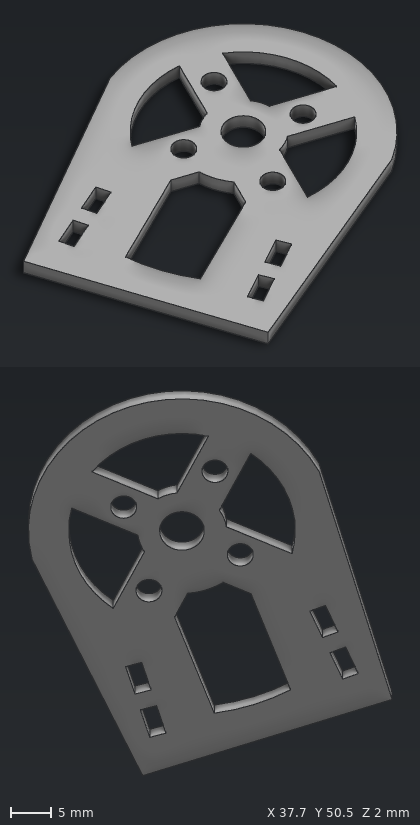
import cadquery as cq
import math

thickness = 2.0
total_length = 50.55
head_radius = 19.0
shoulder_half_width = 18.85
foot_half_width = 16.4
foot_y = head_radius - total_length
shoulder_y = math.sqrt(head_radius**2 - shoulder_half_width**2)

hub_diameter = 5.5
mount_diameter = 3.2
outer_mount_radius = 9.5
inner_mount_radius = 8.0

window_outer_radius = 14.0
window_inner_radius = 5.5
spoke_width = 5.8

opening_half_width = 5.0
opening_inner_radius = 9.0
opening_outer_radius = 26.5
opening_spoke_width = 9.0

slot_width = 2.05
slot_length = 4.1
slot_tilt = 3.0
slot_centers = [(12.2, -18.15), (12.55, -24.6)]


def make_plate():
    return (
        cq.Workplane("XY")
        .moveTo(-foot_half_width, foot_y)
        .lineTo(foot_half_width, foot_y)
        .lineTo(shoulder_half_width, shoulder_y)
        .threePointArc((0, head_radius), (-shoulder_half_width, shoulder_y))
        .close()
        .extrude(thickness)
    )


def make_ring(outer_radius, inner_radius):
    return cq.Workplane("XY").circle(outer_radius).circle(inner_radius).extrude(thickness)


def make_quadrant(gap_width, reach):
    """Wedge opening toward +Y, bounded by the edges of two diagonal spokes."""
    apex_y = gap_width / math.sqrt(2)
    points = [(0, apex_y), (reach, apex_y + reach), (-reach, apex_y + reach)]
    return cq.Workplane("XY").polyline(points).close().extrude(thickness)


def make_window(angle):
    ring = make_ring(window_outer_radius, window_inner_radius)
    wedge = make_quadrant(spoke_width, window_outer_radius)
    return ring.intersect(wedge).rotate((0, 0, 0), (0, 0, 1), angle)


def make_opening():
    ring = make_ring(opening_outer_radius, opening_inner_radius)
    wedge = make_quadrant(opening_spoke_width, opening_outer_radius)
    wedge = wedge.rotate((0, 0, 0), (0, 0, 1), 180)
    strip = cq.Workplane("XY").rect(2 * opening_half_width, 2 * total_length).extrude(thickness)
    return ring.intersect(wedge).intersect(strip)


def make_round_holes():
    holes = cq.Workplane("XY").circle(hub_diameter / 2).extrude(thickness)
    mounts = [
        (inner_mount_radius, 45),
        (outer_mount_radius, 135),
        (inner_mount_radius, 225),
        (outer_mount_radius, 315),
    ]
    for radius, angle in mounts:
        x = radius * math.cos(math.radians(angle))
        y = radius * math.sin(math.radians(angle))
        hole = cq.Workplane("XY").center(x, y).circle(mount_diameter / 2).extrude(thickness)
        holes = holes.union(hole)
    return holes


def make_slot(side, x, y):
    """Slot on the side given by +1 or -1, its lower end leaning outward."""
    slot = cq.Workplane("XY").rect(slot_width, slot_length).extrude(thickness)
    return slot.rotate((0, 0, 0), (0, 0, 1), side * slot_tilt).translate((side * x, y, 0))


result = make_plate().cut(make_round_holes()).cut(make_opening())

for window_angle in (-90, 0, 90):
    result = result.cut(make_window(window_angle))

for slot_side in (-1, 1):
    for slot_x, slot_y in slot_centers:
        result = result.cut(make_slot(slot_side, slot_x, slot_y))